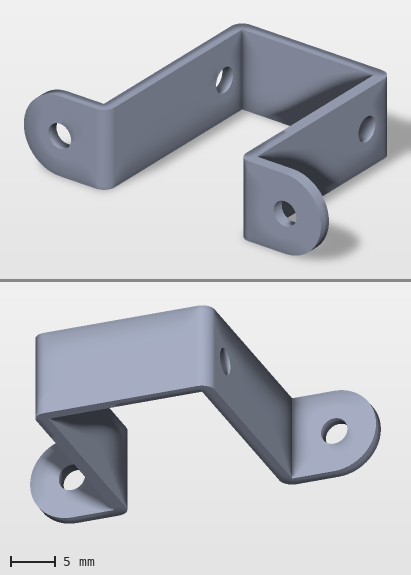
import cadquery as cq

overall_length = 41.3
overall_depth = 26.6
strip_width = 10.0
thickness = 1.5
channel_width = 21.25
bend_radius = thickness
hole_diameter = 3.15
wall_hole_from_back = 4.75

half_length = overall_length / 2
half_channel = channel_width / 2
half_inner = half_channel - thickness
end_radius = strip_width / 2
foot_hole_x = half_length - end_radius


def bent_strip():
    """Hat-shaped strip with sharp inner corners and rounded outer bends."""
    right_half = [
        (half_inner, overall_depth - thickness),
        (half_inner, 0),
        (half_length, 0),
        (half_length, thickness),
        (half_channel, thickness),
        (half_channel, overall_depth),
    ]
    left_half = [(-x, y) for x, y in reversed(right_half)]
    strip = (
        cq.Workplane("XY")
        .polyline(right_half + left_half)
        .close()
        .extrude(end_radius, both=True)
    )
    bend_points = [
        (side * x, y, 0)
        for side in (-1, 1)
        for x, y in ((half_inner, 0), (half_channel, overall_depth))
    ]
    for point in bend_points:
        bend_edge = cq.selectors.NearestToPointSelector(point)
        strip = strip.edges("|Z").edges(bend_edge).fillet(bend_radius)
    return strip


def rounded_envelope():
    """Slot-shaped block that rounds the outer ends of both feet."""
    return (
        cq.Workplane("XZ")
        .slot2D(overall_length, strip_width)
        .extrude(-overall_depth)
    )


def foot_holes():
    """One hole through each foot, concentric with its rounded end."""
    return (
        cq.Workplane("XZ")
        .pushPoints([(-foot_hole_x, 0), (foot_hole_x, 0)])
        .circle(hole_diameter / 2)
        .extrude(-thickness)
    )


def wall_holes():
    """Aligned holes through both side walls."""
    return (
        cq.Workplane("YZ")
        .center(overall_depth - wall_hole_from_back, 0)
        .circle(hole_diameter / 2)
        .extrude(half_channel, both=True)
    )


result = bent_strip().intersect(rounded_envelope()).cut(foot_holes()).cut(wall_holes())